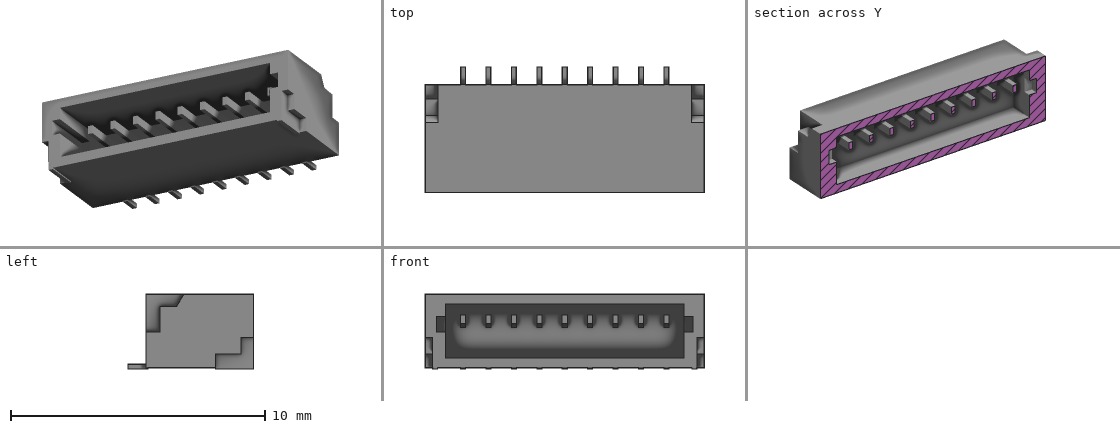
import cadquery as cq

LENGTH = 11.0
OVERALL_DEPTH = 4.95
OVERALL_HEIGHT = 2.96

TAIL_PROJECTION = 0.7
STANDOFF = 0.05
BODY_DEPTH = OVERALL_DEPTH - TAIL_PROJECTION
SIDE_WALL = 0.8
TOP_WALL = 0.4
FLOOR_WALL = 0.4
REAR_WALL = 1.0

CAVITY_LENGTH = LENGTH - 2 * SIDE_WALL
CAVITY_DEPTH = BODY_DEPTH - REAR_WALL
CAVITY_BOTTOM = STANDOFF + FLOOR_WALL
CAVITY_HEIGHT = OVERALL_HEIGHT - TOP_WALL - CAVITY_BOTTOM
KEYWAY_SIDE_WALL = 0.45
KEYWAY_LENGTH = LENGTH - 2 * KEYWAY_SIDE_WALL
KEYWAY_BOTTOM = 1.46
KEYWAY_HEIGHT = 0.62
KEYWAY_DEPTH = 2.5

REAR_NOTCH_WIDTH = 0.52
REAR_NOTCH_DROP = 1.5
REAR_NOTCH_STEP_DROP = 0.5
REAR_NOTCH_DEPTH = 0.56
REAR_NOTCH_LEDGE_DEPTH = 1.21
REAR_NOTCH_TOP_DEPTH = 1.5

FRONT_NOTCH_WIDTH = 0.5
FRONT_NOTCH_HEIGHT = 1.25
FRONT_NOTCH_STEP_HEIGHT = 0.6
FRONT_NOTCH_DEPTH = 0.51
FRONT_NOTCH_BASE_DEPTH = 1.51
TAB_THICKNESS = 0.2

PIN_COUNT = 9
PIN_PITCH = 1.0
PIN_THICKNESS = 0.2
PIN_BOTTOM = 1.79
PIN_HEIGHT = 0.34
PIN_PROJECTION = 2.0
ROOT_DROP = 0.14
ROOT_LENGTH = 0.062
TAIL_OVERLAP = 0.09


def box(x_centre, length, y_start, depth, z_bottom, height):
    """Box centred on x_centre in X, growing from y_start and z_bottom."""
    block = cq.Workplane("XY").box(length, depth, height, centered=(True, False, False))
    return block.translate((x_centre, y_start, z_bottom))


def side_profile(points, x_start, thickness):
    """Prism with a (Y, Z) outline, extruded towards +X from x_start."""
    return cq.Workplane("YZ", origin=(x_start, 0, 0)).polyline(points).close().extrude(thickness)


def both_ends(solid):
    """The solid together with its mirror image at the other end of the connector."""
    return solid.union(solid.mirror("YZ"))


def rear_notch():
    top = OVERALL_HEIGHT
    bottom = top - REAR_NOTCH_DROP
    step = top - REAR_NOTCH_STEP_DROP
    outline = [
        (BODY_DEPTH, bottom),
        (BODY_DEPTH - REAR_NOTCH_DEPTH, bottom),
        (BODY_DEPTH - REAR_NOTCH_DEPTH, step),
        (BODY_DEPTH - REAR_NOTCH_LEDGE_DEPTH, step),
        (BODY_DEPTH - REAR_NOTCH_TOP_DEPTH, top),
        (BODY_DEPTH, top),
    ]
    return side_profile(outline, -LENGTH / 2, REAR_NOTCH_WIDTH)


def front_step(x_start, thickness):
    """L-shaped prism shared by the front notch and the solder tab."""
    outline = [
        (0, 0),
        (FRONT_NOTCH_BASE_DEPTH, 0),
        (FRONT_NOTCH_BASE_DEPTH, FRONT_NOTCH_STEP_HEIGHT),
        (FRONT_NOTCH_DEPTH, FRONT_NOTCH_STEP_HEIGHT),
        (FRONT_NOTCH_DEPTH, FRONT_NOTCH_HEIGHT),
        (0, FRONT_NOTCH_HEIGHT),
    ]
    return side_profile(outline, x_start, thickness)


def housing():
    body = box(0, LENGTH, 0, BODY_DEPTH, STANDOFF, OVERALL_HEIGHT - STANDOFF)
    cavity = box(0, CAVITY_LENGTH, 0, CAVITY_DEPTH, CAVITY_BOTTOM, CAVITY_HEIGHT)
    keyways = box(0, KEYWAY_LENGTH, 0, KEYWAY_DEPTH, KEYWAY_BOTTOM, KEYWAY_HEIGHT)
    front_notch = front_step(-LENGTH / 2, FRONT_NOTCH_WIDTH)
    body = body.cut(cavity).cut(keyways)
    return body.cut(both_ends(rear_notch())).cut(both_ends(front_notch))


def solder_tabs():
    """Plates lying against the inner walls of the front notches."""
    tab_start = -LENGTH / 2 + FRONT_NOTCH_WIDTH - TAB_THICKNESS
    return both_ends(front_step(tab_start, TAB_THICKNESS))


def contact_pin(x_centre):
    """Pin standing out of the cavity's rear wall, thickened underneath by a sloped root."""
    tip = CAVITY_DEPTH - PIN_PROJECTION
    outline = [
        (CAVITY_DEPTH, PIN_BOTTOM - ROOT_DROP),
        (CAVITY_DEPTH - ROOT_LENGTH, PIN_BOTTOM),
        (tip, PIN_BOTTOM),
        (tip, PIN_BOTTOM + PIN_HEIGHT),
        (CAVITY_DEPTH, PIN_BOTTOM + PIN_HEIGHT),
    ]
    return side_profile(outline, x_centre - PIN_THICKNESS / 2, PIN_THICKNESS)


def solder_tail(x_centre):
    tail_start = BODY_DEPTH - TAIL_OVERLAP
    return box(x_centre, PIN_THICKNESS, tail_start, OVERALL_DEPTH - tail_start, 0, PIN_THICKNESS)


result = housing().union(solder_tabs())
for index in range(PIN_COUNT):
    pin_x = (index - (PIN_COUNT - 1) / 2) * PIN_PITCH
    result = result.union(contact_pin(pin_x)).union(solder_tail(pin_x))